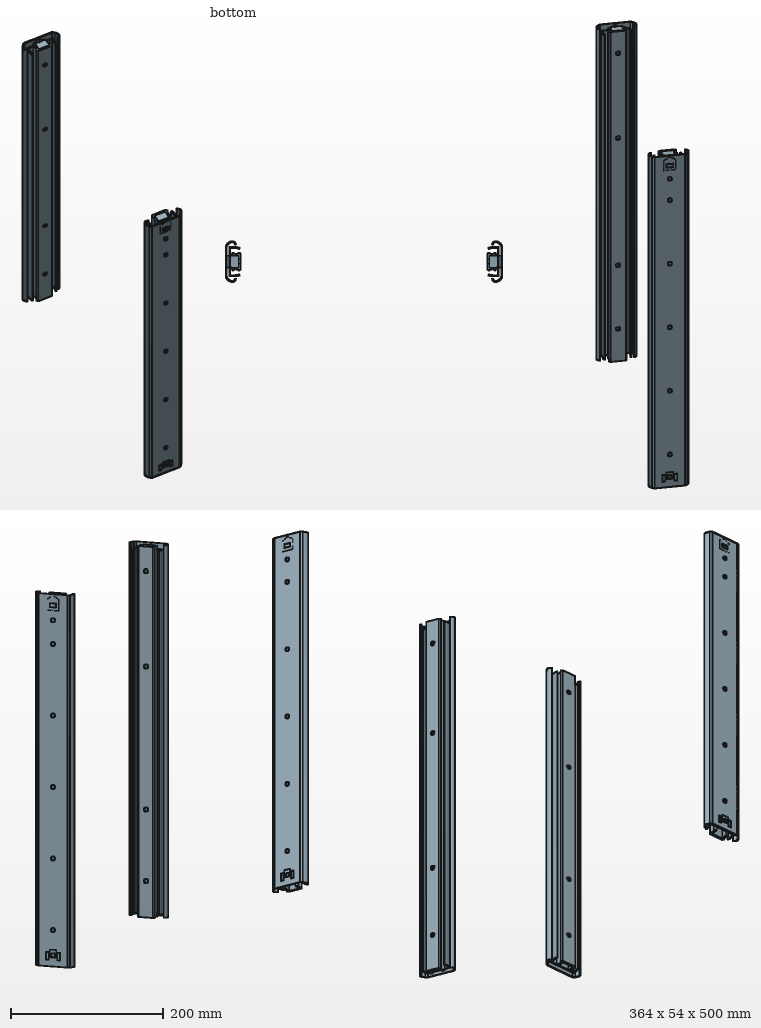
import cadquery as cq
import math

PAIR_WIDTH = 364.0

CABINET_LENGTH = 500.0
CABINET_SHEET = 1.5
CABINET_HALF_WIDTH = 27.0
CABINET_WEB_HALF = 20.6
BEND_DEPTH = 2.18
BEND_HALF = 23.9
LIP_START_ANGLE = math.radians(57.6)
LIP_TIP_ANGLE = math.radians(170.0)
LIP_RADIUS = 5.2

CABINET_SCREW_DIAMETER = 5.6
DRAWER_SCREW_DIAMETER = 5.8
SCREW_PITCH = 96.0
LOWEST_SCREW = 49.0
TOP_SCREW = 465.0
CABINET_SCREWS = [LOWEST_SCREW + i * SCREW_PITCH for i in range(5)] + [TOP_SCREW]
DRAWER_SCREWS = [LOWEST_SCREW + i * SCREW_PITCH for i in (0, 1, 3)] + [TOP_SCREW]

UPPER_WINDOW_HALF = 4.5
UPPER_WINDOW_BOTTOM = 482.3
UPPER_WINDOW_TOP = 487.6
TONGUE_HALF = 4.6
TONGUE_BOTTOM = 12.2
TONGUE_TOP = 22.6
TONGUE_DROP = 0.4
TONGUE_HOLE_HEIGHT = 15.2
SIDE_WINDOW_INNER = 6.0
SIDE_WINDOW_OUTER = 9.9
SIDE_WINDOW_BOTTOM = 8.8
SIDE_WINDOW_TOP = 19.0

MIDDLE_SHEET = 1.8
MIDDLE_BOTTOM = 3.5
MIDDLE_TOP = 493.0
MIDDLE_BACK = 4.5
MIDDLE_FRONT = MIDDLE_BACK + MIDDLE_SHEET
MIDDLE_HALF_WIDTH = 19.4
CUP_START = 12.5
CUP_RADIUS = 16.0
CUP_ANGLE = math.radians(22.0)
STOP_BACK = 1.6
STOP_HALF = 8.0
STOP_BOTTOM = 478.0
STOP_SHOULDER = MIDDLE_TOP
STOP_PEAK = 498.0

DRAWER_TOP = 498.0
DRAWER_FACE = 20.1
DRAWER_WEB = 2.7
DRAWER_INNER_HALF = 7.9
DRAWER_WEB_HALF = 10.0
DRAWER_SHOULDER_DEPTH = 17.8
DRAWER_HALF_WIDTH = 11.9
DRAWER_TIP_DEPTH = 9.2
DRAWER_TIP_INNER_DEPTH = 7.8
GROOVE_BOTTOM_HALF = 10.2

PLUG_LENGTH = 20.0


def mirrored_bar(half_section, bottom, top):
    """Extrude half a section along Z and complete it in width."""
    half = half_section.extrude(top - bottom).translate((0, 0, bottom))
    return half.union(half.mirror("XZ")).clean()


def web_cut(width_from, width_to, bottom, top, depth):
    """Block that cuts a rectangle into the outer face of the cabinet rail's web."""
    corner = (0, width_from, bottom)
    return cq.Workplane("XY").box(depth, width_to - width_from, top - bottom, centered=False).translate(corner)


def screw_holes(heights, diameter, start_depth, length):
    """Cylinders along X on the middle plane."""
    plane = cq.Workplane("YZ").workplane(offset=start_depth)
    return plane.pushPoints([(0, z) for z in heights]).circle(diameter / 2).extrude(length)


def cabinet_surface(inset):
    """Key points of the sheet surface this far below the outer face, from the web to the lip's tip."""
    edge_angle = math.atan2(BEND_DEPTH, BEND_HALF - CABINET_WEB_HALF)
    bend_angle = (edge_angle + LIP_START_ANGLE) / 2
    bend_shift = inset / math.cos((LIP_START_ANGLE - edge_angle) / 2)
    web_corner = (inset, CABINET_WEB_HALF - inset * math.tan(edge_angle / 2))
    bend = (BEND_DEPTH + bend_shift * math.cos(bend_angle), BEND_HALF - bend_shift * math.sin(bend_angle))

    centre_half = CABINET_HALF_WIDTH - LIP_RADIUS
    slope_rise = centre_half + LIP_RADIUS * math.sin(LIP_START_ANGLE) - BEND_HALF
    slope_run = slope_rise * math.tan(LIP_START_ANGLE)
    centre_depth = BEND_DEPTH + slope_run + LIP_RADIUS * math.cos(LIP_START_ANGLE)
    radius = LIP_RADIUS - inset

    def lip_point(angle):
        return (centre_depth - radius * math.cos(angle), centre_half + radius * math.sin(angle))

    return web_corner, bend, lip_point(LIP_START_ANGLE), lip_point(math.pi / 2), lip_point(LIP_TIP_ANGLE)


def make_cabinet_rail():
    out_corner, out_bend, out_start, out_crest, out_tip = cabinet_surface(0)
    in_corner, in_bend, in_start, in_crest, in_tip = cabinet_surface(CABINET_SHEET)
    section = (
        cq.Workplane("XY")
        .lineTo(*out_corner)
        .lineTo(*out_bend)
        .lineTo(*out_start)
        .threePointArc(out_crest, out_tip)
        .lineTo(*in_tip)
        .threePointArc(in_crest, in_start)
        .lineTo(*in_bend)
        .lineTo(*in_corner)
        .lineTo(CABINET_SHEET, 0)
        .close()
    )
    rail = mirrored_bar(section, 0, CABINET_LENGTH)
    rail = rail.cut(screw_holes(CABINET_SCREWS, CABINET_SCREW_DIAMETER, 0, CABINET_SHEET))
    rail = rail.cut(
        web_cut(-UPPER_WINDOW_HALF, UPPER_WINDOW_HALF, UPPER_WINDOW_BOTTOM, UPPER_WINDOW_TOP, CABINET_SHEET)
    )

    rail = rail.cut(web_cut(-TONGUE_HALF, TONGUE_HALF, TONGUE_BOTTOM, TONGUE_TOP, TONGUE_DROP))
    rail = rail.cut(screw_holes([TONGUE_HOLE_HEIGHT], CABINET_SCREW_DIAMETER, 0, CABINET_SHEET))
    side_window = web_cut(
        SIDE_WINDOW_INNER, SIDE_WINDOW_OUTER, SIDE_WINDOW_BOTTOM, SIDE_WINDOW_TOP, CABINET_SHEET
    )
    return rail.cut(side_window).cut(side_window.mirror("XZ"))


def make_middle_rail():
    def cup_point(radius, angle):
        centre_half = MIDDLE_HALF_WIDTH - CUP_RADIUS
        return (CUP_START + radius * math.sin(angle), centre_half + radius * math.cos(angle))

    inner_radius = CUP_RADIUS - MIDDLE_SHEET
    section = (
        cq.Workplane("XY")
        .moveTo(MIDDLE_BACK, 0)
        .lineTo(MIDDLE_BACK, MIDDLE_HALF_WIDTH)
        .lineTo(CUP_START, MIDDLE_HALF_WIDTH)
        .threePointArc(cup_point(CUP_RADIUS, CUP_ANGLE / 2), cup_point(CUP_RADIUS, CUP_ANGLE))
        .lineTo(*cup_point(inner_radius, CUP_ANGLE))
        .threePointArc(cup_point(inner_radius, CUP_ANGLE / 2), cup_point(inner_radius, 0))
        .lineTo(MIDDLE_FRONT, MIDDLE_HALF_WIDTH - MIDDLE_SHEET)
        .lineTo(MIDDLE_FRONT, 0)
        .close()
    )
    rail = mirrored_bar(section, MIDDLE_BOTTOM, MIDDLE_TOP)
    stop = (
        cq.Workplane("YZ")
        .workplane(offset=STOP_BACK)
        .moveTo(-STOP_HALF, STOP_BOTTOM)
        .lineTo(STOP_HALF, STOP_BOTTOM)
        .lineTo(STOP_HALF, STOP_SHOULDER)
        .lineTo(0, STOP_PEAK)
        .lineTo(-STOP_HALF, STOP_SHOULDER)
        .close()
        .extrude(MIDDLE_FRONT - STOP_BACK)
    )
    return rail.union(stop)


def make_drawer_rail():
    groove_depth = (DRAWER_SHOULDER_DEPTH + DRAWER_TIP_DEPTH) / 2
    web_inner = DRAWER_FACE - DRAWER_WEB
    section = (
        cq.Workplane("XY")
        .moveTo(DRAWER_FACE, 0)
        .lineTo(DRAWER_FACE, DRAWER_WEB_HALF)
        .lineTo(DRAWER_SHOULDER_DEPTH, DRAWER_HALF_WIDTH)
        .threePointArc((groove_depth, GROOVE_BOTTOM_HALF), (DRAWER_TIP_DEPTH, DRAWER_HALF_WIDTH))
        .lineTo(DRAWER_TIP_INNER_DEPTH, DRAWER_INNER_HALF)
        .lineTo(web_inner, DRAWER_INNER_HALF)
        .lineTo(web_inner, 0)
        .close()
    )
    rail = mirrored_bar(section, 0, DRAWER_TOP)
    return rail.cut(screw_holes(DRAWER_SCREWS, DRAWER_SCREW_DIAMETER, web_inner, DRAWER_WEB))


def make_plug():
    depth = DRAWER_FACE - DRAWER_WEB - MIDDLE_FRONT
    corner = (MIDDLE_FRONT, -DRAWER_INNER_HALF, DRAWER_TOP - PLUG_LENGTH)
    return cq.Workplane("XY").box(depth, 2 * DRAWER_INNER_HALF, PLUG_LENGTH, centered=False).translate(corner)


bodies = []
for body in (make_cabinet_rail(), make_middle_rail(), make_drawer_rail(), make_plug()):
    left = body.translate((-PAIR_WIDTH / 2, 0, 0))
    right = left.mirror("YZ")
    bodies += [*left.solids().vals(), *right.solids().vals()]

result = cq.Compound.makeCompound(bodies)